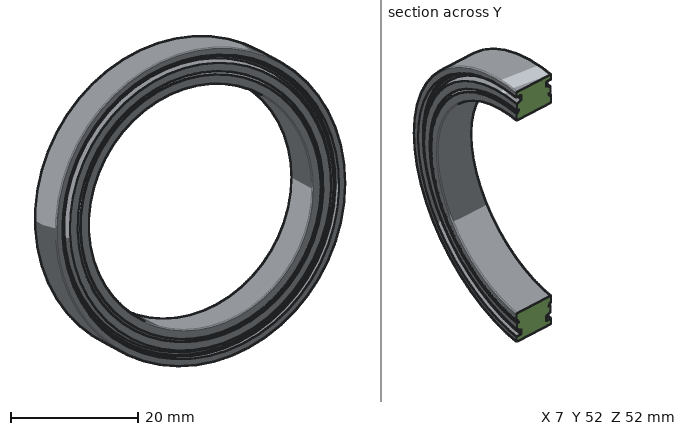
import cadquery as cq
import math

width = 7.0
outer_radius = 26.0
bore_radius = 20.0
corner_radius = 0.2

steep_slope = math.radians(60)
middle_slope = math.radians(45)
shallow_slope = math.radians(30)

land_radius = 21.55
land_step = 0.2

shield_depth = 0.12
shield_inner_radius = 22.05
flank_top_radius = 23.42
flank_foot_radius = 23.94
bead_inner_radius = 24.38
bead_crest_radius = 24.49
bead_shoulder_radius = 24.58
bead_foot_radius = 24.68
bead_wall_height = 0.25

recess_radius = 24.8
root_radius = 0.1


def cone_height(large_radius, small_radius, slope):
    """Axial height of a conical face between two radii."""
    return (large_radius - small_radius) * math.tan(slope)


land_foot_depth = land_step + cone_height(shield_inner_radius, land_radius, shallow_slope)
sunken_depth = shield_depth + cone_height(flank_foot_radius, flank_top_radius, steep_slope)
bead_wall_depth = sunken_depth - bead_wall_height
bead_crest_depth = bead_wall_depth - cone_height(bead_crest_radius, bead_inner_radius, shallow_slope)
bead_shoulder_depth = bead_crest_depth + cone_height(bead_shoulder_radius, bead_crest_radius, middle_slope)
bead_foot_depth = bead_shoulder_depth + cone_height(bead_foot_radius, bead_shoulder_radius, steep_slope)


def ring_blank():
    """Solid ring with rounded corners at the rim and at the bore."""
    ring = (
        cq.Workplane("YZ", origin=(-width / 2, 0, 0))
        .circle(outer_radius)
        .circle(bore_radius)
        .extrude(width)
    )
    return ring.edges("%CIRCLE").fillet(corner_radius)


def face_recess():
    """Annular space between the two rings, in front of the shield on the -X side."""
    root_sagitta = root_radius * (1 - math.sqrt(0.5))
    profile = (
        cq.Workplane("XZ", origin=(-width / 2, 0, 0))
        .moveTo(0, land_radius)
        .lineTo(land_step, land_radius)
        .lineTo(land_foot_depth, shield_inner_radius)
        .lineTo(shield_depth, shield_inner_radius)
        .lineTo(shield_depth, flank_top_radius)
        .lineTo(sunken_depth, flank_foot_radius)
        .lineTo(sunken_depth, bead_inner_radius)
        .lineTo(bead_wall_depth, bead_inner_radius)
        .lineTo(bead_crest_depth, bead_crest_radius)
        .lineTo(bead_shoulder_depth, bead_shoulder_radius)
        .lineTo(bead_foot_depth, bead_foot_radius)
        .lineTo(bead_foot_depth, recess_radius - root_radius)
        .threePointArc(
            (bead_foot_depth - root_sagitta, recess_radius - root_sagitta),
            (bead_foot_depth - root_radius, recess_radius),
        )
        .lineTo(0, recess_radius)
        .close()
    )
    return profile.revolve(360, (0, 0, 0), (1, 0, 0))


near_recess = face_recess()
far_recess = near_recess.mirror("YZ")
result = ring_blank().cut(near_recess).cut(far_recess)